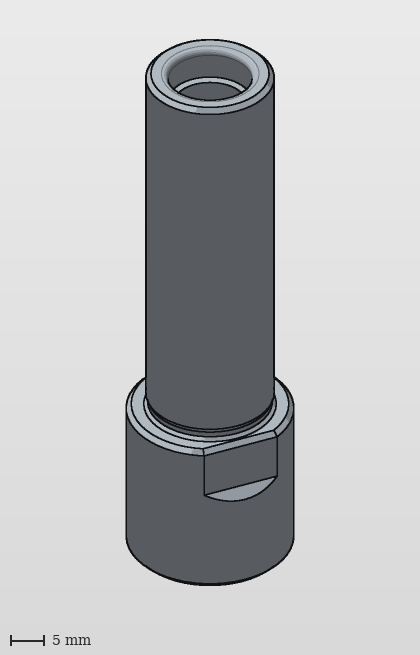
import cadquery as cq
import math

total_length = 85.0
body_radius = 12.5
body_bottom_chamfer = 1.0
shoulder_z = 25.0
shoulder_chamfer = 0.8
neck_foot_radius = 9.9

groove_radius = 18.6 / 2
groove_bottom_z = 25.5
groove_top_z = 26.35
tube_radius = 19.1 / 2
tube_start_z = 27.0
tube_top_chamfer = 0.8

bore_radius = 10.9 / 2
counterbore_radius = 12.5 / 2
counterbore_depth = 5.0
mouth_fillet = 1.0
bore_step_height = 0.4

flat_half_width = 11.0
flat_bottom_z = 17.1
runout_depth = body_radius - flat_half_width


def make_outer_body():
    """Revolved body, shoulder, neck groove and tube."""
    profile = [
        (0, 0),
        (body_radius - body_bottom_chamfer, 0),
        (body_radius, body_bottom_chamfer),
        (body_radius, shoulder_z - shoulder_chamfer),
        (body_radius - shoulder_chamfer, shoulder_z),
        (neck_foot_radius, shoulder_z),
        (groove_radius, groove_bottom_z),
        (groove_radius, groove_top_z),
        (tube_radius, tube_start_z),
        (tube_radius, total_length - tube_top_chamfer),
        (tube_radius - tube_top_chamfer, total_length),
        (0, total_length),
    ]
    return cq.Workplane("XZ").polyline(profile).close().revolve(360, (0, 0), (0, 1))


def make_bore():
    """Through bore with a counterbore, rounded at its mouth, at the tube end."""
    step_top_z = total_length - counterbore_depth
    mouth_bottom_z = total_length - mouth_fillet
    arc_inset = mouth_fillet * (1 - math.sqrt(0.5))
    profile = (
        cq.Workplane("XZ")
        .lineTo(bore_radius, 0)
        .lineTo(bore_radius, step_top_z - bore_step_height)
        .lineTo(counterbore_radius, step_top_z)
        .lineTo(counterbore_radius, mouth_bottom_z)
        .threePointArc(
            (counterbore_radius + arc_inset, total_length - arc_inset),
            (counterbore_radius + mouth_fillet, total_length),
        )
        .lineTo(0, total_length)
        .close()
    )
    return profile.revolve(360, (0, 0), (0, 1))


def make_flat_cutter(side):
    """Wrench flat with a 45 degree runout below and the shoulder chamfer above."""
    profile = [
        (side * body_radius, flat_bottom_z - runout_depth),
        (side * flat_half_width, flat_bottom_z),
        (side * flat_half_width, shoulder_z - shoulder_chamfer),
        (side * (flat_half_width - shoulder_chamfer), shoulder_z),
        (side * body_radius, shoulder_z),
    ]
    cutter = cq.Workplane("XZ").polyline(profile).close()
    return cutter.extrude(body_radius, both=True)


result = make_outer_body().cut(make_bore())
for side in (-1, 1):
    result = result.cut(make_flat_cutter(side))